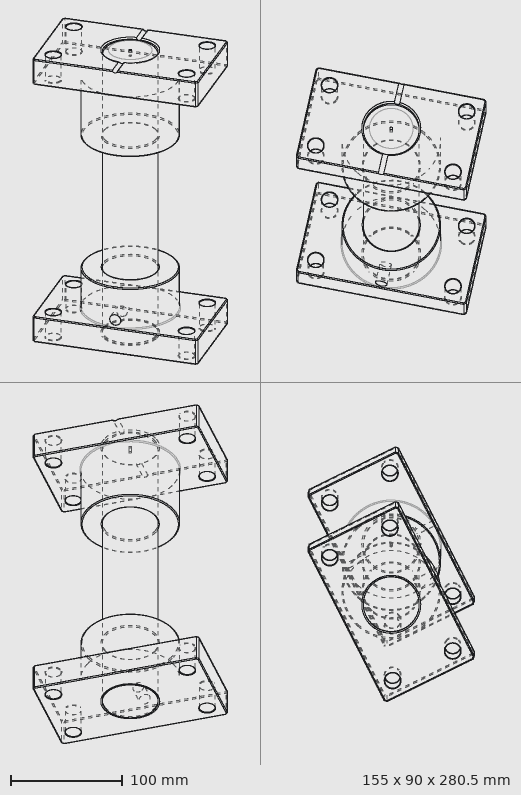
import cadquery as cq

TOTAL_HEIGHT = 280.5

PLATE_LENGTH = 155.0
PLATE_WIDTH = 90.0
PLATE_THICKNESS = 25.0
PLATE_CORNER_CHAMFER = 2.0
PLATE_RIM_CHAMFER = 0.95
BOLT_SPACING_X = 125.0
BOLT_SPACING_Y = 60.0
BOLT_HOLE_DIAMETER = 14.0
BOLT_HOLE_CHAMFER = 0.5

BOSS_DIAMETER = 88.0
UPPER_BOSS_HEIGHT = 60.0
LOWER_BOSS_HEIGHT = 40.0
BOSS_CHAMFER = 1.0
BOSS_FOOT_RADIUS = 1.0

PILLAR_DIAMETER = 50.0
PILLAR_END_FLAT_DIAMETER = 39.0
PILLAR_END_RADIUS = (PILLAR_DIAMETER - PILLAR_END_FLAT_DIAMETER) / 2
CENTRE_HOLE_DIAMETER = 2.5
CENTRE_HOLE_DEPTH = 5.5

PLATE_BORE_CHAMFER = 1.5
BOSS_BORE_CHAMFER = 1.0
GROOVE_RADIUS = 2.5
GROOVE_DEPTH = 2.0

SCREW_HOLE_DIAMETER = 10.5
SCREW_HOLE_ABOVE_PLATE = 7.9


def make_plate():
    """Rectangular plate standing on Z = 0, with all its edges broken."""
    return (
        cq.Workplane("XY")
        .box(PLATE_LENGTH, PLATE_WIDTH, PLATE_THICKNESS, centered=(True, True, False))
        .edges("|Z")
        .chamfer(PLATE_CORNER_CHAMFER)
        .faces("<Z or >Z")
        .edges()
        .chamfer(PLATE_RIM_CHAMFER)
    )


def make_boss(height):
    """Round boss on top of the plate, with a chamfered rim."""
    return (
        cq.Workplane("XY", origin=(0, 0, PLATE_THICKNESS))
        .circle(BOSS_DIAMETER / 2)
        .extrude(height)
        .faces(">Z")
        .edges()
        .chamfer(BOSS_CHAMFER)
    )


def chamfered_hole(diameter, length, start_chamfer, end_chamfer):
    """Cutter for a through hole rising from Z = 0, with both mouths chamfered."""
    radius = diameter / 2
    return (
        cq.Workplane("XZ")
        .polyline(
            [
                (0, 0),
                (radius + start_chamfer, 0),
                (radius, start_chamfer),
                (radius, length - end_chamfer),
                (radius + end_chamfer, length),
                (0, length),
            ]
        )
        .close()
        .revolve(360, (0, 0, 0), (0, 1, 0))
    )


def flanged_bushing(boss_height):
    """Plate standing on Z = 0 with a boss on top, bored for the pillar and drilled for bolts."""
    bushing = make_plate().union(make_boss(boss_height))
    bushing = bushing.edges("%CIRCLE").edges("<Z").fillet(BOSS_FOOT_RADIUS)
    bore_length = PLATE_THICKNESS + boss_height
    bushing = bushing.cut(
        chamfered_hole(PILLAR_DIAMETER, bore_length, PLATE_BORE_CHAMFER, BOSS_BORE_CHAMFER)
    )
    bolt_hole = chamfered_hole(
        BOLT_HOLE_DIAMETER, PLATE_THICKNESS, BOLT_HOLE_CHAMFER, BOLT_HOLE_CHAMFER
    )
    for side_x in (-1, 1):
        for side_y in (-1, 1):
            place = (side_x * BOLT_SPACING_X / 2, side_y * BOLT_SPACING_Y / 2, 0)
            bushing = bushing.cut(bolt_hole.translate(place))
    return bushing


def make_upper_bushing():
    """Bushing with its plate on top and a shallow round groove across the plate."""
    groove = (
        cq.Workplane("XZ")
        .center(0, TOTAL_HEIGHT - GROOVE_DEPTH + GROOVE_RADIUS)
        .circle(GROOVE_RADIUS)
        .extrude(PLATE_WIDTH / 2, both=True)
    )
    return (
        flanged_bushing(UPPER_BOSS_HEIGHT)
        .rotate((0, 0, 0), (1, 0, 0), 180)
        .translate((0, 0, TOTAL_HEIGHT))
        .cut(groove)
    )


def make_lower_bushing():
    """Bushing with its plate at the bottom and a radial screw hole on the -Y side."""
    screw_hole = (
        cq.Workplane("XZ", origin=(0, 0, PLATE_THICKNESS + SCREW_HOLE_ABOVE_PLATE))
        .circle(SCREW_HOLE_DIAMETER / 2)
        .extrude(PLATE_WIDTH / 2)
    )
    return flanged_bushing(LOWER_BOSS_HEIGHT).cut(screw_hole)


def make_pillar():
    """Round pillar with a rounded upper end and a small centre hole."""
    return (
        cq.Workplane("XY")
        .circle(PILLAR_DIAMETER / 2)
        .extrude(TOTAL_HEIGHT)
        .faces(">Z")
        .edges()
        .fillet(PILLAR_END_RADIUS)
        .faces(">Z")
        .workplane()
        .hole(CENTRE_HOLE_DIAMETER, CENTRE_HOLE_DEPTH)
    )


upper_bushing = make_upper_bushing()
lower_bushing = make_lower_bushing()
pillar = make_pillar()

result = cq.Compound.makeCompound([upper_bushing.val(), lower_bushing.val(), pillar.val()])